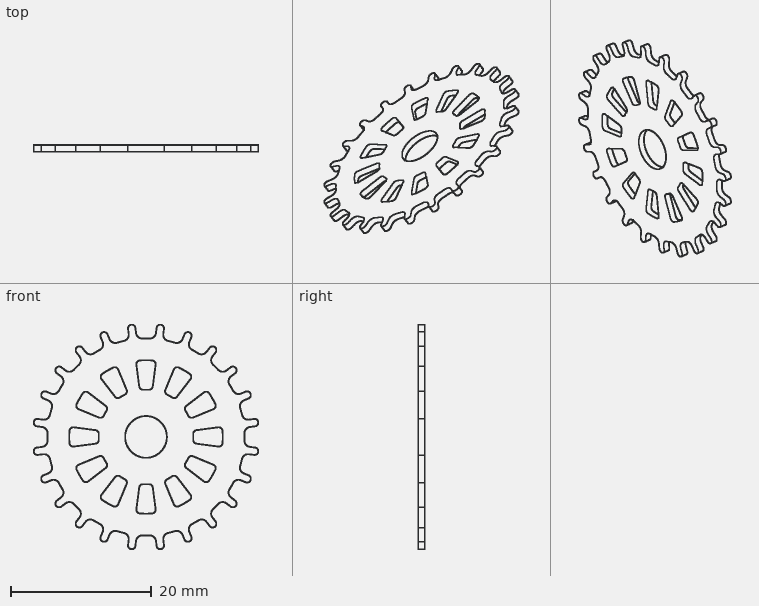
import cadquery as cq
import math

outer_size = 31.97
thickness = 1.0
bore_diameter = 5.9

tooth_count = 24
tooth_width = 1.1
root_radius = 14.05
root_fillet = 0.85

window_count = 12
window_inner_radius = 6.75
window_outer_radius = 10.9
window_fillet = 0.5

tooth_pitch = 360 / tooth_count
window_pitch = 360 / window_count
window_half_angle = window_pitch / 4

tip_radius = tooth_width / 2
tip_center_radius = (outer_size / 2 - tip_radius) / math.cos(math.radians(tooth_pitch / 2))


def polar_point(radius, angle):
    """Point at a radius, with the angle in degrees measured from +X toward +Z."""
    return radius * math.cos(math.radians(angle)), radius * math.sin(math.radians(angle))


def extrude_through(sketch):
    """Extrude a sketch drawn in the XZ plane equally to both sides."""
    return sketch.extrude(thickness / 2, both=True)


def make_tooth():
    """Finger along +X, starting at the axis so that it merges into the disc."""
    outline = (
        cq.Workplane("XZ")
        .moveTo(0, -tip_radius)
        .lineTo(tip_center_radius, -tip_radius)
        .threePointArc((tip_center_radius + tip_radius, 0), (tip_center_radius, tip_radius))
        .lineTo(0, tip_radius)
        .close()
    )
    return extrude_through(outline)


def make_window():
    """Round-cornered sector centred on +X."""
    outline = (
        cq.Workplane("XZ")
        .moveTo(*polar_point(window_inner_radius, -window_half_angle))
        .lineTo(*polar_point(window_outer_radius, -window_half_angle))
        .threePointArc((window_outer_radius, 0), polar_point(window_outer_radius, window_half_angle))
        .lineTo(*polar_point(window_inner_radius, window_half_angle))
        .threePointArc((window_inner_radius, 0), polar_point(window_inner_radius, -window_half_angle))
        .close()
    )
    return extrude_through(outline).edges("|Y").fillet(window_fillet)


def turned(body, angle):
    """Copy of a body turned about the wheel axis."""
    return body.rotate((0, 0, 0), (0, 1, 0), angle)


wheel = extrude_through(cq.Workplane("XZ").circle(root_radius))
tooth = make_tooth()
for index in range(tooth_count):
    wheel = wheel.union(turned(tooth, (index + 0.5) * tooth_pitch))

mid_tooth_radius = (root_radius + tip_center_radius) / 2
corner_edges = wheel.edges("|Y").filter(
    lambda edge: math.hypot(edge.Center().x, edge.Center().z) < mid_tooth_radius
)
wheel = wheel.newObject(corner_edges.vals()).fillet(root_fillet)

window = make_window()
for index in range(window_count):
    wheel = wheel.cut(turned(window, index * window_pitch))

bore = extrude_through(cq.Workplane("XZ").circle(bore_diameter / 2))
result = wheel.cut(bore)